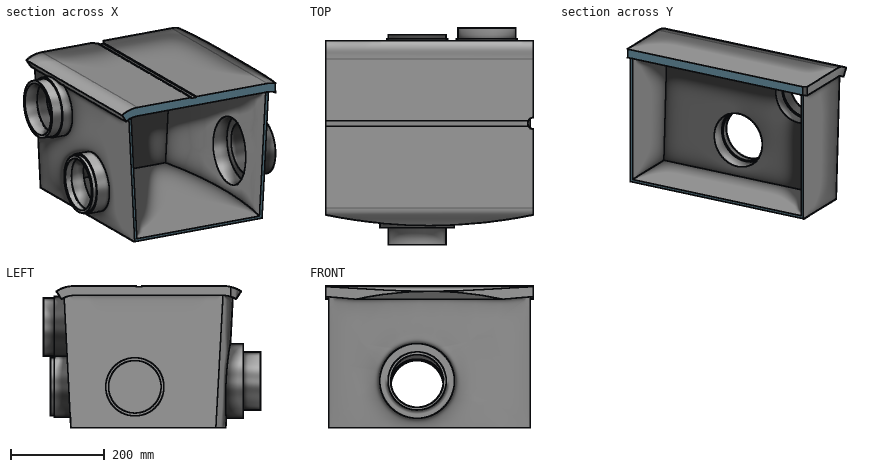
import cadquery as cq
import math

HEIGHT = 303.0
LID_LENGTH = 443.0
LID_HALF_WIDTH = 197.2
LID_FLAT_HALF_WIDTH = 159.0
LID_THICKNESS = 20.5
LID_EDGE_RADIUS = 69.5
LID_FRONT_CORNER_Y = -174.5
LID_UNDERSIDE = HEIGHT - LID_THICKNESS

GROOVE_Y = 21.0
GROOVE_WIDTH = 11.5
GROOVE_DEPTH = 2.0
NOTCH_RADIUS = 12.0

BOX_LENGTH = 430.0
WALL = 7.0
BOX_BOW = 21.8
BOX_BOTTOM_BACK_Y = 166.0
BOX_BOTTOM_FRONT_Y = -143.0
BOX_TOP_BACK_Y = 180.5
BOX_TOP_FRONT_Y = -158.5

PIPE_RADIUS = 62.0
PIPE_WALL = 6.0
PIPE_BORE_RADIUS = PIPE_RADIUS - PIPE_WALL
FRONT_COLLAR_RADIUS = 79.5
REAR_COLLAR_RADIUS = 65.5
FRONT_COLLAR_Y = -202.0
REAR_COLLAR_Y = 201.0
FRONT_PIPE_Y = -238.5
UPPER_REAR_PIPE_Y = 224.5
LOWER_REAR_PIPE_Y = 209.7
LOWER_PORT_X = -26.5
FRONT_PORT_Z = 100.0
LOWER_REAR_PORT_Z = 87.5
UPPER_REAR_PORT_X = 122.2
UPPER_REAR_PORT_Z = 215.0

BLANK_PORT_Y = 29.5
BLANK_PORT_Z = LOWER_REAR_PORT_Z
RING_DEPTH = 0.5


def make_lid():
    """Plate with downturned rounded edges, a bowed front edge, a groove and a notch."""
    edge_angle = math.asin((LID_HALF_WIDTH - LID_FLAT_HALF_WIDTH) / LID_EDGE_RADIUS)
    edge_center_z = HEIGHT - LID_EDGE_RADIUS
    inner_radius = LID_EDGE_RADIUS - LID_THICKNESS

    def edge_point(side, radius, angle):
        y = LID_FLAT_HALF_WIDTH + radius * math.sin(angle)
        return (side * y, edge_center_z + radius * math.cos(angle))

    def edge_arc(side, radius):
        return [edge_point(side, radius, edge_angle * step / 2) for step in range(3)]

    back_outer = edge_arc(1, LID_EDGE_RADIUS)
    back_inner = edge_arc(1, inner_radius)
    front_outer = edge_arc(-1, LID_EDGE_RADIUS)
    front_inner = edge_arc(-1, inner_radius)
    plate = (
        cq.Workplane("YZ")
        .moveTo(*front_outer[0])
        .lineTo(*back_outer[0])
        .threePointArc(back_outer[1], back_outer[2])
        .lineTo(*back_inner[2])
        .threePointArc(back_inner[1], back_inner[0])
        .lineTo(*front_inner[0])
        .threePointArc(front_inner[1], front_inner[2])
        .lineTo(*front_outer[2])
        .threePointArc(front_outer[1], front_outer[0])
        .close()
        .extrude(LID_LENGTH / 2, both=True)
    )

    half_length = LID_LENGTH / 2
    bowed_outline = (
        cq.Workplane("XY")
        .moveTo(half_length, LID_HALF_WIDTH)
        .lineTo(-half_length, LID_HALF_WIDTH)
        .lineTo(-half_length, LID_FRONT_CORNER_Y)
        .threePointArc((0, -LID_HALF_WIDTH), (half_length, LID_FRONT_CORNER_Y))
        .close()
        .extrude(HEIGHT)
    )
    groove = (
        cq.Workplane("XY", origin=(0, GROOVE_Y, HEIGHT - GROOVE_DEPTH))
        .rect(LID_LENGTH, GROOVE_WIDTH)
        .extrude(GROOVE_DEPTH)
    )
    notch = (
        cq.Workplane("XY", origin=(half_length, GROOVE_Y, LID_UNDERSIDE))
        .circle(NOTCH_RADIUS)
        .extrude(LID_THICKNESS)
    )
    return plate.intersect(bowed_outline).cut(groove).cut(notch)


def box_section(height, inset):
    """Closed wire of the box at a height, pulled inward by the inset."""
    level = height / LID_UNDERSIDE
    back = BOX_BOTTOM_BACK_Y + level * (BOX_TOP_BACK_Y - BOX_BOTTOM_BACK_Y) - inset
    front = BOX_BOTTOM_FRONT_Y + level * (BOX_TOP_FRONT_Y - BOX_BOTTOM_FRONT_Y) + inset
    half_length = BOX_LENGTH / 2 - inset
    return (
        cq.Workplane("XY", origin=(0, 0, height))
        .moveTo(half_length, back)
        .lineTo(-half_length, back)
        .lineTo(-half_length, front)
        .threePointArc((0, front - BOX_BOW), (half_length, front))
        .close()
        .val()
    )


def tapered_block(floor, inset):
    """Solid between the floor height and the lid underside."""
    sections = [box_section(floor, inset), box_section(LID_UNDERSIDE, inset)]
    return cq.Workplane(cq.Solid.makeLoft(sections, True))


def rod(x, z, radius, end_y):
    """Cylinder along Y from the middle of the box (Y = 0) out to end_y."""
    return cq.Workplane("XZ", origin=(x, 0, z)).circle(radius).extrude(-end_y)


def make_housing(lid):
    """Hollow tapered box with three collared pipe stubs, fitted under the lid."""
    ports = [
        (LOWER_PORT_X, FRONT_PORT_Z, FRONT_COLLAR_RADIUS, FRONT_COLLAR_Y, FRONT_PIPE_Y),
        (LOWER_PORT_X, LOWER_REAR_PORT_Z, REAR_COLLAR_RADIUS, REAR_COLLAR_Y, LOWER_REAR_PIPE_Y),
        (UPPER_REAR_PORT_X, UPPER_REAR_PORT_Z, REAR_COLLAR_RADIUS, REAR_COLLAR_Y, UPPER_REAR_PIPE_Y),
    ]
    housing = tapered_block(0, 0)
    for x, z, collar_radius, collar_y, pipe_y in ports:
        housing = housing.union(rod(x, z, collar_radius, collar_y))
        housing = housing.union(rod(x, z, PIPE_RADIUS, pipe_y))

    housing = housing.cut(tapered_block(WALL, WALL))
    for x, z, collar_radius, collar_y, pipe_y in ports:
        collar_floor_y = collar_y - math.copysign(PIPE_WALL, collar_y)
        housing = housing.cut(rod(x, z, collar_radius - PIPE_WALL, collar_floor_y))
        housing = housing.cut(rod(x, z, PIPE_BORE_RADIUS, pipe_y))

    ring = (
        cq.Workplane("YZ", origin=(-BOX_LENGTH / 2, BLANK_PORT_Y, BLANK_PORT_Z))
        .circle(PIPE_RADIUS)
        .circle(PIPE_BORE_RADIUS)
        .extrude(RING_DEPTH)
    )
    return housing.cut(ring).cut(lid)


lid = make_lid()
housing = make_housing(lid)
result = cq.Compound.makeCompound([lid.val(), housing.val()])